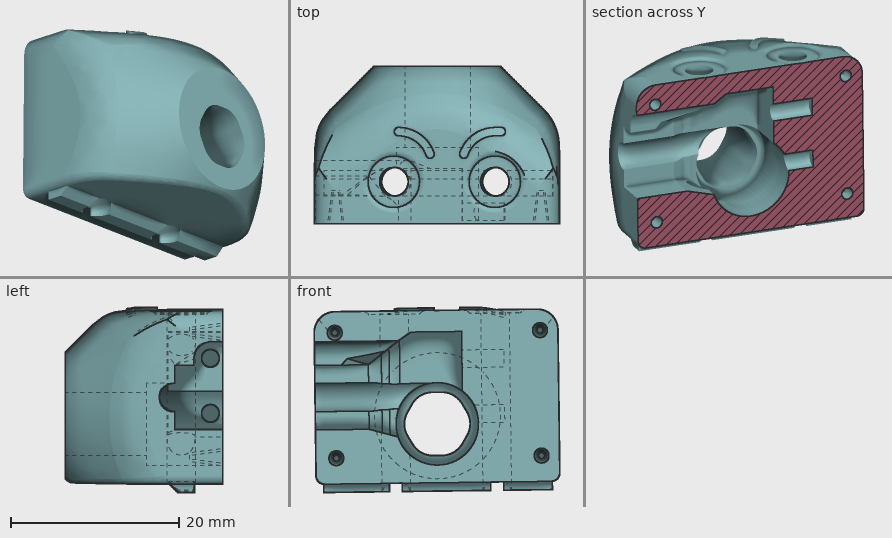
import cadquery as cq
import math

TILT = 0.73

HALF_WIDTH = 14.5
TOP = 13.5
BOTTOM = -7.0
DEPTH = 18.75
TOP_CORNER_RADIUS = 2.5
BOTTOM_RADIUS = 1.0

CONE_Z = 1.0
CONE_BACK_RADIUS = 7.5
CONE_BLEND_RADIUS = 6.0

BORE_RADIUS = 4.9
BORE_DEPTH = 9.1
HEX_FLATS = 7.5
HEX_CORNER_RADIUS = 2.8

EYE_XS = (-5.0, 7.0)
EYE_Y = 5.0
EYE_HOLE_RADIUS = 1.7
EYE_FLOOR_RADIUS = 3.06
EYE_RIM_RADIUS = 3.73
EYE_FLOOR_DEPTH = 0.4
EYE_RIM_DROP = 0.35

BROW_WIDTH = 1.0
BROW_RAISE = 0.3
BROW_RADIUS = 3.96
BROW_SWEEP = 71.0
BROW_ARC_Y = 7.0
LEFT_BROW_ARC_X = -4.43
RIGHT_BROW_ARC_X = 7.07
RIGHT_BROW_TAIL = 0.7
BROW_ROOT = 2.5

TAB_SPANS = ((-13.6, -5.75), (-4.27, 6.28), (7.8, 13.6))
TAB_HEIGHT = 1.0
TAB_FRONT_Y = 3.35
TAB_LENGTH = 2.0

SCREW_XS = (-12.05, 12.35)
SCREW_ZS = (-3.93, 10.98)
SCREW_MOUTH_RADIUS = 0.88
SCREW_END_RADIUS = 0.36
SCREW_DEPTH = 4.0

POCKET_LEFT = -4.5
POCKET_SLOPE_END = -3.0
POCKET_RIGHT = 3.03
POCKET_TOP = 10.95
POCKET_DEPTH = 6.58
PASSAGE_TOP = 7.13
PASSAGE_FLOOR = -0.54
PASSAGE_DEPTH = 5.72
FUNNEL_START = -8.1
FUNNEL_FLOOR_X = -4.65
FUNNEL_FLOOR_Z = -1.5
FUNNEL_DEEP_X = -6.55

GROOVE_TOP = 9.94
GROOVE_DEPTH = 3.44
GROOVE_RADIUS = 2.05
RAMP_LOW_X = -11.3
RAMP_HIGH_X = -10.6

CHANNEL_RADIUS = 1.69
CHANNEL_Y = 5.86
CHANNEL_Z = 3.31

PIN_RADIUS = 1.05
PIN_Y = 1.48
PIN_ZS = (1.17, 7.73)
PIN_END_X = 8.0

OVERRUN = 1.0
LEFT_OUTSIDE = -HALF_WIDTH - OVERRUN


def box(x0, x1, y0, y1, z0, z1):
    """Axis-aligned box between two corners."""
    return cq.Workplane("XY").box(x1 - x0, y1 - y0, z1 - z0, centered=False).translate((x0, y0, z0))


def x_cylinder(radius, y, z, x0, x1):
    """Cylinder along X."""
    return cq.Workplane("YZ", origin=(x0, y, z)).circle(radius).extrude(x1 - x0)


def housing():
    """Rounded block whose back tapers into a blended 45 degree cone."""
    block = box(-HALF_WIDTH, HALF_WIDTH, 0, DEPTH, BOTTOM, TOP)
    cone_profile = [(0, 0), (CONE_BACK_RADIUS + DEPTH, 0), (CONE_BACK_RADIUS, DEPTH), (0, DEPTH)]
    cone = cq.Workplane("XY").polyline(cone_profile).close().revolve(360, (0, 0, 0), (0, 1, 0))
    body = block.intersect(cone.translate((0, 0, CONE_Z)))

    def blends(edge):
        return edge.geomType() == "HYPERBOLA" and edge.Center().z > BOTTOM + BOTTOM_RADIUS / 2

    body = body.edges().filter(blends).fillet(CONE_BLEND_RADIUS)
    body = body.edges("|Y and <Z").fillet(BOTTOM_RADIUS)
    return body.intersect(block.edges("|Y and >Z").fillet(TOP_CORNER_RADIUS))


def tab(x0, x1):
    """Tab under the bottom with its back face sloping at 45 degrees."""
    back = TAB_FRONT_Y + TAB_LENGTH
    tip = BOTTOM - TAB_HEIGHT
    root = BOTTOM + BOTTOM_RADIUS
    profile = [
        (TAB_FRONT_Y, tip),
        (back, tip),
        (back + TAB_HEIGHT, BOTTOM),
        (back + TAB_HEIGHT, root),
        (TAB_FRONT_Y, root),
    ]
    return cq.Workplane("YZ", origin=(x0, 0, 0)).polyline(profile).close().extrude(x1 - x0)


def brow(body, arc_x, side, tail):
    """Arched bar following the top surface; side is +1 or -1 for the way it bends down in X."""
    base = TOP - BROW_ROOT

    def arc_point(radius, angle):
        swing = math.radians(angle)
        return (arc_x + side * radius * math.sin(swing), BROW_ARC_Y + radius * math.cos(swing))

    outer = BROW_RADIUS + BROW_WIDTH / 2
    inner = BROW_RADIUS - BROW_WIDTH / 2
    bar = (
        cq.Workplane("XY", origin=(0, 0, base))
        .moveTo(*arc_point(outer, 0))
        .threePointArc(arc_point(outer, BROW_SWEEP / 2), arc_point(outer, BROW_SWEEP))
        .lineTo(*arc_point(inner, BROW_SWEEP))
        .threePointArc(arc_point(inner, BROW_SWEEP / 2), arc_point(inner, 0))
        .close()
        .extrude(2 * BROW_ROOT)
    )
    tail_x = arc_x - side * tail
    row_y = BROW_ARC_Y + BROW_RADIUS
    for x, y in ((tail_x, row_y), arc_point(BROW_RADIUS, BROW_SWEEP)):
        end = cq.Workplane("XY", origin=(x, y, base)).circle(BROW_WIDTH / 2)
        bar = bar.union(end.extrude(2 * BROW_ROOT))
    if tail:
        half = BROW_WIDTH / 2
        x0, x1 = sorted((arc_x, tail_x))
        bar = bar.union(box(x0, x1, row_y - half, row_y + half, base, base + 2 * BROW_ROOT))
    return bar.intersect(body.translate((0, 0, BROW_RAISE)))


def eye(x):
    """Vertical through hole under a shallow dish with a rounded rim."""
    floor = -EYE_FLOOR_DEPTH
    run = EYE_RIM_RADIUS - EYE_FLOOR_RADIUS
    arc_radius = (run**2 + EYE_RIM_DROP**2) / (2 * EYE_RIM_DROP)
    half_angle = math.asin(run / arc_radius) / 2
    rim_mid = (
        EYE_RIM_RADIUS - arc_radius * math.sin(half_angle),
        -arc_radius * (1 - math.cos(half_angle)),
    )
    dish = (
        cq.Workplane("XZ")
        .moveTo(0, floor)
        .lineTo(EYE_FLOOR_RADIUS, floor)
        .lineTo(EYE_FLOOR_RADIUS, -EYE_RIM_DROP)
        .threePointArc(rim_mid, (EYE_RIM_RADIUS, 0))
        .lineTo(EYE_RIM_RADIUS, OVERRUN)
        .lineTo(0, OVERRUN)
        .close()
        .revolve(360, (0, 0, 0), (0, 1, 0))
        .translate((x, EYE_Y, TOP))
    )
    hole_bottom = BOTTOM - TAB_HEIGHT - OVERRUN
    hole = cq.Workplane("XY", origin=(x, EYE_Y, hole_bottom)).circle(EYE_HOLE_RADIUS)
    return dish.union(hole.extrude(TOP - hole_bottom))


def lens_bore():
    """Round bore from the front and a rounded hexagonal opening through the back."""
    bore = cq.Workplane("XZ").circle(BORE_RADIUS).extrude(-BORE_DEPTH)
    corner_diameter = HEX_FLATS / math.cos(math.radians(30))
    opening = cq.Workplane("XZ").polygon(6, corner_diameter).extrude(-DEPTH - OVERRUN)
    return bore.union(opening.edges("|Y").fillet(HEX_CORNER_RADIUS))


def pocket():
    """Front outline of passage, funnel and pocket, cut to a depth that slopes from one to the other."""
    outline = [
        (LEFT_OUTSIDE, PASSAGE_TOP),
        (FUNNEL_START, PASSAGE_TOP),
        (POCKET_LEFT, GROOVE_TOP),
        (POCKET_SLOPE_END, POCKET_TOP),
        (POCKET_RIGHT, POCKET_TOP),
        (POCKET_RIGHT, 0),
        (0, 0),
        (FUNNEL_FLOOR_X, FUNNEL_FLOOR_Z),
        (FUNNEL_START, PASSAGE_FLOOR),
        (LEFT_OUTSIDE, PASSAGE_FLOOR),
    ]
    front = cq.Workplane("XZ").polyline(outline).close().extrude(-POCKET_DEPTH)

    depth_profile = [
        (LEFT_OUTSIDE, 0),
        (LEFT_OUTSIDE, PASSAGE_DEPTH),
        (FUNNEL_START, PASSAGE_DEPTH),
        (FUNNEL_DEEP_X, POCKET_DEPTH),
        (POCKET_RIGHT, POCKET_DEPTH),
        (POCKET_RIGHT, 0),
    ]
    depth_plan = cq.Workplane("XY", origin=(0, 0, BOTTOM)).polyline(depth_profile).close()
    depth = depth_plan.extrude(TOP - BOTTOM)
    return front.intersect(depth)


def groove():
    """Shallow groove above the passage with one rounded inner corner."""
    bar = box(LEFT_OUTSIDE, POCKET_LEFT, 0, GROOVE_DEPTH, PASSAGE_FLOOR, GROOVE_TOP)
    return bar.edges("|X and >Y and >Z").fillet(GROOVE_RADIUS)


def ramp():
    """Sloping wedge that eases the groove into the deeper funnel."""
    low = cq.Vector(RAMP_LOW_X, GROOVE_DEPTH, PASSAGE_TOP)
    high = cq.Vector(RAMP_HIGH_X, GROOVE_DEPTH, GROOVE_TOP - GROOVE_RADIUS)
    deep = cq.Vector(FUNNEL_START, PASSAGE_DEPTH, PASSAGE_TOP)
    shallow = cq.Vector(POCKET_LEFT, 0, PASSAGE_TOP)
    peak = cq.Vector(POCKET_LEFT, GROOVE_DEPTH - GROOVE_RADIUS, GROOVE_TOP)
    corners = (
        (low, high, deep),
        (high, peak, deep),
        (deep, peak, shallow),
        (low, deep, shallow),
        (low, shallow, high),
        (high, shallow, peak),
    )
    faces = [cq.Face.makeFromWires(cq.Wire.makePolygon(points, close=True)) for points in corners]
    return cq.Workplane(obj=cq.Solid.makeSolid(cq.Shell.makeShell(faces)))


def screw_hole(x, z):
    """Tapered blind hole in the front face."""
    return cq.Workplane(
        obj=cq.Solid.makeCone(
            SCREW_MOUTH_RADIUS, SCREW_END_RADIUS, SCREW_DEPTH, pnt=(x, 0, z), dir=(0, 1, 0)
        )
    )


shell = housing()
part = shell
for tab_start, tab_end in TAB_SPANS:
    part = part.union(tab(tab_start, tab_end))
part = part.union(brow(shell, LEFT_BROW_ARC_X, 1, 0))
part = part.union(brow(shell, RIGHT_BROW_ARC_X, -1, RIGHT_BROW_TAIL))

part = part.cut(lens_bore()).cut(pocket()).cut(groove()).cut(ramp())
part = part.cut(x_cylinder(CHANNEL_RADIUS, CHANNEL_Y, CHANNEL_Z, LEFT_OUTSIDE, 0))
for eye_x in EYE_XS:
    part = part.cut(eye(eye_x))
for pin_z in PIN_ZS:
    part = part.cut(x_cylinder(PIN_RADIUS, PIN_Y, pin_z, 0, PIN_END_X))
for screw_x in SCREW_XS:
    for screw_z in SCREW_ZS:
        part = part.cut(screw_hole(screw_x, screw_z))

result = part.rotate((0, 0, 0), (0, 1, 0), -TILT).solids()